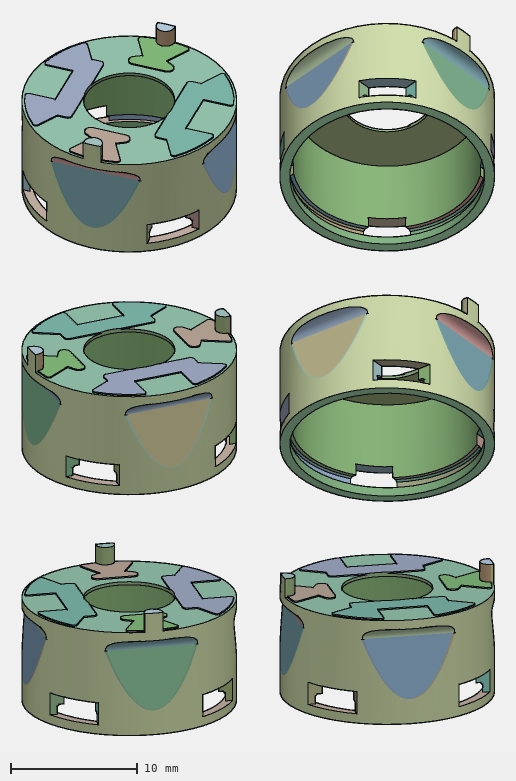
import cadquery as cq
import math

outer_radius = 8.5
total_height = 10.2
body_height = 8.64
plate_thickness = 0.25
bore_radius = 3.6

cavity_radius = 7.53
groove_radius = 7.99
groove_top = 1.6
groove_chamfer = 0.15
lip_radius = 7.7

window_bottom = 0.78
window_top = 2.62
window_inner_x = 4.23
window_inner_y = 4.15

pocket_top = 7.89
pocket_floor = 7.63
pocket_angle = math.radians(9.8)
pocket_edge_fillet = 0.34
scoop_radius = 0.75

pad_height = 0.1
pad_rim_radius = 8.28
pad_corner_fillet = 0.25
pad_slant = math.radians(30)

u_inner_x = 3.5
u_half_width = 3.93
u_inner_fillet = 0.34
slot_inner_x = 5.5
slot_half_width = 2.02
wing_root_x = 4.6

foot_radius = 0.5
foot_center_x = 1.4
foot_center_y = 5.0
waist_half_width = 1.0

pin_radius = 0.75
pin_center_y = 8.26

beyond_rim = outer_radius + 0.85


def cylinder(radius, bottom, top):
    return cq.Workplane("XY", origin=(0, 0, bottom)).circle(radius).extrude(top - bottom)


def quarter_turn(shape, count):
    return shape.rotate((0, 0, 0), (0, 0, 1), 90 * count)


def cut_pockets(body):
    """Cut a sloping flat with softened edges, then a sharp-edged scoop above it, on each side."""
    scoop_y = -pocket_floor - scoop_radius
    scoop_z = pocket_top - scoop_radius
    tangent_y = scoop_y + scoop_radius * math.cos(pocket_angle)
    tangent_z = scoop_z - scoop_radius * math.sin(pocket_angle)
    slope_end_z = tangent_z - (beyond_rim + tangent_y) / math.tan(pocket_angle)

    flat = (
        cq.Workplane("YZ")
        .moveTo(tangent_y, tangent_z)
        .lineTo(-beyond_rim, slope_end_z)
        .lineTo(-beyond_rim, tangent_z)
        .close()
        .extrude(outer_radius, both=True)
    )
    scoop = (
        cq.Workplane("YZ")
        .moveTo(-beyond_rim, pocket_top)
        .lineTo(scoop_y, pocket_top)
        .threePointArc((scoop_y + scoop_radius, scoop_z), (tangent_y, tangent_z))
        .lineTo(-beyond_rim, tangent_z)
        .close()
        .extrude(outer_radius, both=True)
    )
    for count in range(4):
        body = body.cut(quarter_turn(flat, count))
    body = body.edges("%ELLIPSE").fillet(pocket_edge_fillet)
    for count in range(4):
        body = body.cut(quarter_turn(scoop, count))
    return body


def cut_cavity(body):
    groove = cylinder(groove_radius, window_bottom, groove_top).faces(">Z").chamfer(groove_chamfer)
    body = body.cut(cylinder(cavity_radius, 0, body_height - plate_thickness))
    return body.cut(groove).cut(cylinder(lip_radius, 0, window_bottom))


def cut_windows(body):
    window = (
        cq.Workplane("XY", origin=(window_inner_x, window_inner_y, window_bottom))
        .rect(beyond_rim - window_inner_x, beyond_rim - window_inner_y, centered=False)
        .extrude(window_top - window_bottom)
    )
    side_windows = window.union(window.mirror("XZ"))
    return body.cut(side_windows).cut(side_windows.mirror("YZ"))


def trim_to_rim(pad):
    """Trim a pad to the round rim and round off its corners there."""
    pad = pad.intersect(cylinder(pad_rim_radius, 0, total_height))
    corners = pad.edges("|Z").filter(
        lambda edge: math.hypot(edge.Center().x, edge.Center().y) > pad_rim_radius - 0.02
    )
    return corners.fillet(pad_corner_fillet)


def make_u_pad():
    wing_rise = beyond_rim - u_half_width
    wing_tip_x = wing_root_x + wing_rise * math.tan(pad_slant)
    half_outline = [
        (slot_inner_x, 0),
        (slot_inner_x, slot_half_width),
        (beyond_rim, slot_half_width),
        (beyond_rim, beyond_rim),
        (wing_tip_x, beyond_rim),
        (wing_root_x, u_half_width),
        (u_inner_x, u_half_width),
        (u_inner_x, 0),
    ]
    half = cq.Workplane("XY", origin=(0, 0, body_height)).polyline(half_outline).close().extrude(pad_height)
    pad = half.union(half.mirror("XZ"))
    return trim_to_rim(pad.edges("|Z and <X").fillet(u_inner_fillet))


def make_dovetail_pad():
    foot_slant_x = foot_center_x + foot_radius * math.sin(pad_slant)
    foot_slant_y = foot_center_y + foot_radius * math.cos(pad_slant)
    waist_y = foot_slant_y + (foot_slant_x - waist_half_width) * math.tan(pad_slant)
    tail_half_width = waist_half_width + (beyond_rim - waist_y) * math.tan(pad_slant)
    half = (
        cq.Workplane("XY", origin=(0, 0, body_height))
        .moveTo(0, foot_center_y - foot_radius)
        .lineTo(foot_center_x, foot_center_y - foot_radius)
        .threePointArc((foot_center_x + foot_radius, foot_center_y), (foot_slant_x, foot_slant_y))
        .lineTo(waist_half_width, waist_y)
        .lineTo(tail_half_width, beyond_rim)
        .lineTo(0, beyond_rim)
        .close()
        .extrude(pad_height)
    )
    return trim_to_rim(half.union(half.mirror("YZ")))


def make_pin():
    """A round-nosed pin whose outer face follows the rim."""
    pin = (
        cq.Workplane("XY", origin=(0, 0, body_height))
        .moveTo(-pin_radius, beyond_rim)
        .lineTo(-pin_radius, pin_center_y)
        .threePointArc((0, pin_center_y - pin_radius), (pin_radius, pin_center_y))
        .lineTo(pin_radius, beyond_rim)
        .close()
        .extrude(total_height - body_height)
    )
    return pin.intersect(cylinder(outer_radius, 0, total_height))


body = cylinder(outer_radius, 0, body_height)
body = cut_pockets(body)
body = cut_cavity(body)
body = cut_windows(body)

for top_feature in (make_u_pad(), make_dovetail_pad(), make_pin()):
    body = body.union(top_feature).union(quarter_turn(top_feature, 2))

result = body.cut(cylinder(bore_radius, 0, total_height))